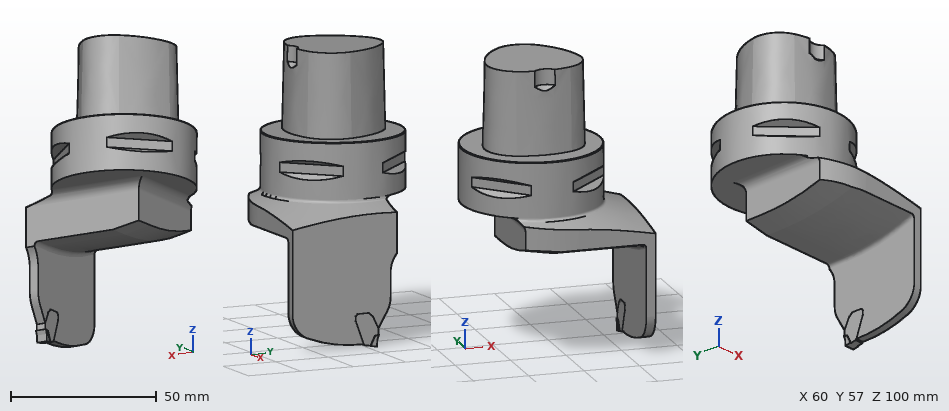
import cadquery as cq
import math


flange_radius = 25
flange_height = 20
flange_bottom = -flange_height
flange_chamfer = 0.3
slot_count = 4
slot_floor_distance = 22.2
slot_floor_width = 3.4
slot_wall_angle = 30

shank_height = 30
lobe_count = 3
lobe_offset = 6.7
lobe_radius = 12
shank_flat_distance = 16.4
shank_inset = 0.7

notch_radius = 4.6
notch_axis_distance = 18.3
notch_depth = 5.6
notch_tip_depth = 3.4

arm_left = -10.6
arm_back = 7.8
arm_front = -32
arm_corner_radius = 32
arm_corner_center_x = 6.9
flare_radius = 3.8
neck_fillet_radius = 1.2
cone_angle = 15
floor_depth = 16.4
floor_bend_x = -0.2
floor_slope = 10
floor_arc_rise = 6.1
arm_clearance = 20

insert_proud = 0.3
insert_body_top = [(-1.4, -59.4), (-3, -58), (-7.2, -58.1), (-7.9, -58.9), (-7.9, -60.6)]
insert_lip = (0.7, -63.7)
insert_toe = (-4.9, -68.8)
insert_heel = (-4.5, -69.2)
tip_top = (0.8, -65.9)
tip_shoulder = (-0.7, -66.2)
tip_bottom = (-2.4, -69.6)
tip_face_bend = (0.2, -67.5)
cutting_corner = (0, -70)

tip_reach = 35
blade_right = tip_reach - insert_proud
blade_thickness = 3.4
blade_left = blade_right - blade_thickness
blade_root_fillet = 1.5
blade_edge_radius = 10
blade_edge_y = 5.4
blade_edge_top = -44.5
blade_edge_bottom = -53
blade_lip_angle = 31
blade_shoulder = -56.4
blade_heel_radius = 9.5
blade_heel_angle = 21
seat_corner = (-2, -66)

part_bottom = cutting_corner[1]
floor_z = flange_bottom - floor_depth


def shank_outline(inset, z):
    """Three lobe arcs joined smoothly by three flatter arcs, moved inward by inset."""
    side = lobe_offset * math.sqrt(3) / 2
    half = lobe_offset / 2
    gap = shank_flat_distance - lobe_radius
    flat_offset = (side**2 + half**2 - gap**2) / (2 * (gap - half))
    joint_angle = math.degrees(math.atan2(-(flat_offset + half), side))

    def lobe_point(lobe_direction, angle):
        radius = lobe_radius - inset
        lobe = math.radians(lobe_direction)
        turn = math.radians(angle)
        return (
            lobe_offset * math.cos(lobe) + radius * math.cos(turn),
            lobe_offset * math.sin(lobe) + radius * math.sin(turn),
        )

    first_lobe = -30
    lobe_step = 360 / lobe_count
    half_span = first_lobe - joint_angle
    outline = cq.Workplane("XY", origin=(0, 0, z)).moveTo(*lobe_point(first_lobe, joint_angle))
    for index in range(lobe_count):
        lobe = first_lobe + index * lobe_step
        next_lobe = lobe + lobe_step
        flat_direction = math.radians(lobe + lobe_step / 2)
        flat_distance = shank_flat_distance - inset
        flat_middle = (flat_distance * math.cos(flat_direction), flat_distance * math.sin(flat_direction))
        outline = outline.threePointArc(lobe_point(lobe, lobe), lobe_point(lobe, lobe + half_span))
        outline = outline.threePointArc(flat_middle, lobe_point(next_lobe, next_lobe - half_span))
    return outline.close().wires().val()


def make_shank():
    bottom = shank_outline(0, 0)
    top = shank_outline(shank_inset, shank_height)
    shank = cq.Workplane(cq.Solid.makeLoft([bottom, top], True))
    notch_bottom = shank_height - notch_depth
    notch = (
        cq.Workplane("XZ")
        .moveTo(0, shank_height)
        .lineTo(notch_radius, shank_height)
        .lineTo(notch_radius, notch_bottom)
        .lineTo(0, notch_bottom - notch_tip_depth)
        .close()
        .revolve(360, (0, 0), (0, 1))
        .translate((0, -notch_axis_distance, 0))
    )
    return shank.cut(notch)


def make_flange():
    flange = (
        cq.Workplane("XY", origin=(0, 0, flange_bottom))
        .circle(flange_radius)
        .extrude(flange_height)
        .faces(">Z")
        .chamfer(flange_chamfer)
    )
    depth = flange_radius - slot_floor_distance
    inner = slot_floor_width / 2
    outer = inner + depth * math.tan(math.radians(slot_wall_angle))
    middle = -flange_height / 2
    slot = (
        cq.Workplane("XZ")
        .polyline(
            [
                (slot_floor_distance, middle - inner),
                (flange_radius, middle - outer),
                (flange_radius, middle + outer),
                (slot_floor_distance, middle + inner),
            ]
        )
        .close()
        .extrude(flange_radius, both=True)
    )
    for index in range(slot_count):
        flange = flange.cut(slot.rotate((0, 0, 0), (0, 0, 1), (index + 0.5) * 360 / slot_count))
    return flange


def flared_wall(plane, wall, far, outward):
    """Space inside a long wall that curves outward to meet the underside of the flange."""
    flare_bottom = flange_bottom - flare_radius
    bend = flare_radius * (1 - math.sqrt(0.5))
    return (
        cq.Workplane(plane)
        .moveTo(far, flange_bottom)
        .lineTo(wall + outward * flare_radius, flange_bottom)
        .threePointArc(
            (wall + outward * bend, flange_bottom - bend),
            (wall, flare_bottom),
        )
        .lineTo(wall, part_bottom)
        .lineTo(far, part_bottom)
        .close()
        .extrude(2 * flange_radius, both=True)
    )


def conical_top():
    """Space below a cone that falls away from the shank axis, with a fillet up to the flange rim."""
    slope = math.radians(cone_angle)
    fillet_center = flange_radius + neck_fillet_radius

    def fillet_point(turn):
        radius = fillet_center - neck_fillet_radius * math.cos(turn)
        return (radius, flange_bottom - neck_fillet_radius * math.sin(turn))

    fillet_turn = math.pi / 2 - slope
    cone_start_radius, cone_start = fillet_point(fillet_turn)
    cone_end_radius = 2 * flange_radius
    cone_fall = (cone_end_radius - cone_start_radius) * math.tan(slope)
    return (
        cq.Workplane("XZ")
        .moveTo(0, flange_bottom)
        .lineTo(flange_radius, flange_bottom)
        .threePointArc(fillet_point(fillet_turn / 2), (cone_start_radius, cone_start))
        .lineTo(cone_end_radius, cone_start - cone_fall)
        .lineTo(cone_end_radius, part_bottom)
        .lineTo(0, part_bottom)
        .close()
        .revolve(360, (0, 0), (0, 1))
    )


def above_floor():
    """Space above the arm floor: flat, then rising to the front, and sloping up to the left."""
    tilt = math.radians(floor_slope)
    bend_plane = cq.Plane(
        origin=(floor_bend_x, 0, floor_z),
        xDir=(0, 1, 0),
        normal=(math.cos(tilt), 0, -math.sin(tilt)),
    )
    back = arm_back + arm_clearance
    arc_radius = (arm_front**2 + floor_arc_rise**2) / (2 * floor_arc_rise)
    middle_y = arm_front / 2
    middle_rise = arc_radius - math.sqrt(arc_radius**2 - middle_y**2)
    profile = (
        cq.Workplane(bend_plane)
        .moveTo(back, 0)
        .lineTo(0, 0)
        .threePointArc((middle_y, middle_rise), (arm_front, floor_arc_rise))
        .lineTo(arm_front, arm_clearance)
        .lineTo(back, arm_clearance)
        .close()
        .wires()
        .val()
    )
    right_run = cq.Vector(blade_right + arm_clearance, 0, 0)
    left_run = cq.Vector(-arm_clearance, 0, arm_clearance * math.tan(tilt))
    right_part = cq.Workplane(cq.Solid.extrudeLinear(profile, [], right_run))
    left_part = cq.Workplane(cq.Solid.extrudeLinear(profile, [], left_run))
    return right_part.union(left_part)


def arm_plan():
    """Plan of the arm: straight front and right sides, rounded front-left corner."""
    left = arm_corner_center_x - arm_corner_radius
    diagonal = arm_corner_radius * math.sqrt(0.5)
    return (
        cq.Workplane("XY", origin=(0, 0, part_bottom))
        .moveTo(blade_right, arm_front)
        .lineTo(arm_corner_center_x, arm_front)
        .threePointArc((arm_corner_center_x - diagonal, -diagonal), (left, 0))
        .lineTo(left, flange_radius)
        .lineTo(blade_right, flange_radius)
        .close()
        .extrude(-part_bottom)
    )


def arm_envelope():
    """Space inside the arm plan, the two flared walls and the conical top."""
    back_wall = flared_wall("YZ", arm_back, arm_front, 1)
    left_wall = flared_wall("XZ", arm_left, blade_right, -1)
    return arm_plan().intersect(back_wall).intersect(left_wall).intersect(conical_top())


def side_outline():
    """Side outline of arm and blade: straight front edge, rounded heel, waisted back edge."""
    waist_center_y = blade_edge_y + blade_edge_radius
    root_z = blade_edge_top + math.sqrt(blade_edge_radius**2 - (waist_center_y - arm_back) ** 2)
    heel_turn = math.radians(blade_heel_angle)
    heel_end = (
        arm_front + blade_heel_radius * (1 - math.sin(heel_turn)),
        blade_shoulder - blade_heel_radius * math.cos(heel_turn),
    )
    lip_turn = math.radians(blade_lip_angle)
    lip_start = (
        blade_edge_y - blade_edge_radius * (1 - math.cos(lip_turn)),
        blade_edge_bottom - blade_edge_radius * math.sin(lip_turn),
    )
    return (
        cq.Workplane("YZ")
        .moveTo(flange_radius, flange_bottom)
        .lineTo(arm_front, flange_bottom)
        .lineTo(arm_front, blade_shoulder)
        .tangentArcPoint(heel_end, relative=False)
        .tangentArcPoint(insert_toe, relative=False)
        .lineTo(*seat_corner)
        .lineTo(*insert_lip)
        .lineTo(*lip_start)
        .tangentArcPoint((blade_edge_y, blade_edge_bottom), relative=False)
        .lineTo(blade_edge_y, blade_edge_top)
        .tangentArcPoint((arm_back, root_z), relative=False)
        .lineTo(flange_radius, root_z)
        .close()
        .extrude(2 * flange_radius, both=True)
    )


def make_arm():
    """Arm and blade with a fillet where the arm floor meets the blade."""
    blade_length = arm_back + arm_clearance - arm_front
    blade = (
        cq.Workplane("XY", origin=(blade_left, arm_front, part_bottom))
        .box(blade_thickness, blade_length, flange_bottom - part_bottom, centered=False)
    )
    margin = 1
    root = cq.selectors.BoxSelector(
        (blade_left - margin, arm_front - margin, floor_z - margin),
        (blade_left + margin, arm_front + blade_length + margin, floor_z + floor_arc_rise),
    )
    arm = above_floor().union(blade).edges("not |Z").edges(root).fillet(blade_root_fillet)
    return arm.intersect(side_outline()).intersect(arm_envelope())


def insert_plate(points, overhang):
    """Flat plate across the blade thickness, standing out by overhang on both sides."""
    return (
        cq.Workplane("YZ", origin=(blade_left - overhang, 0, 0))
        .polyline(points)
        .close()
        .extrude(blade_thickness + 2 * overhang)
    )


def make_insert():
    body_points = [insert_lip, *insert_body_top, insert_toe, insert_heel, tip_bottom, tip_shoulder, tip_top]
    tip_points = [tip_top, tip_shoulder, tip_bottom, cutting_corner, tip_face_bend]
    return insert_plate(body_points, 0).union(insert_plate(tip_points, insert_proud))


insert = make_insert()
holder = make_flange().union(make_shank()).union(make_arm()).cut(insert)
result = cq.Compound.makeCompound([holder.solids().val(), insert.solids().val()])